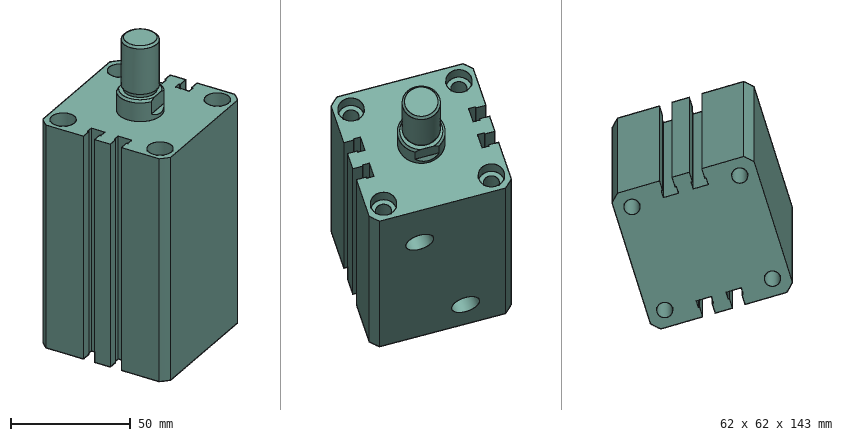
import cadquery as cq

TOTAL_HEIGHT = 143.0
BLOCK_WIDTH = 62.0
ROD_REACH = 35.0
BLOCK_HEIGHT = TOTAL_HEIGHT - ROD_REACH
CORNER_CIRCLE_RADIUS = 41.5

SLOT_SPACING = 13.0
SLOT_MOUTH_WIDTH = 5.5
SLOT_MOUTH_DEPTH = 4.5
SLOT_FLOOR_WIDTH = 6.6
SLOT_DEPTH = 7.5

HOLE_SPACING = 47.0
HOLE_DIAMETER = 6.7
COUNTERBORE_DIAMETER = 11.0
COUNTERBORE_DEPTH = 6.5

PORT_OFFSET = 10.0
LOWER_PORT_Z = 16.9
UPPER_PORT_Z = 80.8
PORT_MOUTH_DIAMETER = 12.2
PORT_END_DIAMETER = 11.2
PORT_DEPTH = 15.7

ROD_DIAMETER = 20.0
ROD_CHAMFER = 1.0
COLLAR_LENGTH = 10.0
NECK_DIAMETER = 14.2
NECK_LENGTH = 2.0
THREAD_DIAMETER = 16.0
THREAD_CHAMFER = 1.0
FLAT_WIDTH = 17.0
FLAT_START = 3.0


def make_slot_cutter():
    """One T slot of full block height, open towards -Y."""
    face_y = -BLOCK_WIDTH / 2
    floor_depth = SLOT_DEPTH - SLOT_MOUTH_DEPTH
    mouth = cq.Workplane("XY").box(
        SLOT_MOUTH_WIDTH, SLOT_DEPTH, BLOCK_HEIGHT, centered=(True, False, False)
    )
    floor = (
        cq.Workplane("XY")
        .box(SLOT_FLOOR_WIDTH, floor_depth, BLOCK_HEIGHT, centered=(True, False, False))
        .translate((0, SLOT_MOUTH_DEPTH, 0))
    )
    return mouth.union(floor).translate((0, face_y, 0))


def make_port_cutter():
    """One port along +X from the -X face, narrowing towards its blind end."""
    cone = cq.Solid.makeCone(
        PORT_MOUTH_DIAMETER / 2,
        PORT_END_DIAMETER / 2,
        PORT_DEPTH,
        pnt=cq.Vector(-BLOCK_WIDTH / 2, 0, 0),
        dir=cq.Vector(1, 0, 0),
    )
    return cq.Workplane("XY").add(cone)


def make_block():
    turned_bar = cq.Workplane("XY").circle(CORNER_CIRCLE_RADIUS).extrude(BLOCK_HEIGHT)
    block = (
        cq.Workplane("XY")
        .box(BLOCK_WIDTH, BLOCK_WIDTH, BLOCK_HEIGHT, centered=(True, True, False))
        .intersect(turned_bar)
    )

    slot = make_slot_cutter()
    back_slot = slot.mirror("XZ")
    for slot_x in (-SLOT_SPACING / 2, SLOT_SPACING / 2):
        block = block.cut(slot.translate((slot_x, 0, 0)))
        block = block.cut(back_slot.translate((slot_x, 0, 0)))

    block = (
        block.faces(">Z")
        .workplane(origin=(0, 0, BLOCK_HEIGHT))
        .rect(HOLE_SPACING, HOLE_SPACING, forConstruction=True)
        .vertices()
        .cboreHole(HOLE_DIAMETER, COUNTERBORE_DIAMETER, COUNTERBORE_DEPTH)
    )

    port = make_port_cutter()
    for port_y, port_z in ((-PORT_OFFSET, LOWER_PORT_Z), (PORT_OFFSET, UPPER_PORT_Z)):
        block = block.cut(port.translate((0, port_y, port_z)))
    return block


def make_flat_cutter():
    """Material removed beside the +X wrench flat, with a 45 degree run-out at its lower end."""
    rod_radius = ROD_DIAMETER / 2
    flat_x = FLAT_WIDTH / 2
    runout_start = FLAT_START - (rod_radius - flat_x)
    return (
        cq.Workplane("XZ")
        .moveTo(flat_x, FLAT_START)
        .lineTo(rod_radius, runout_start)
        .lineTo(rod_radius, COLLAR_LENGTH)
        .lineTo(flat_x, COLLAR_LENGTH)
        .close()
        .extrude(rod_radius, both=True)
    )


def make_rod():
    """Rod standing on the block: collar with two wrench flats, undercut neck, threaded end."""
    thread_start = COLLAR_LENGTH + NECK_LENGTH
    collar = cq.Workplane("XY").circle(ROD_DIAMETER / 2).extrude(COLLAR_LENGTH)
    collar = collar.faces(">Z").chamfer(ROD_CHAMFER)
    flat = make_flat_cutter()
    collar = collar.cut(flat).cut(flat.mirror("YZ"))

    neck = (
        cq.Workplane("XY", origin=(0, 0, COLLAR_LENGTH))
        .circle(NECK_DIAMETER / 2)
        .extrude(NECK_LENGTH)
    )
    thread = (
        cq.Workplane("XY", origin=(0, 0, thread_start))
        .circle(THREAD_DIAMETER / 2)
        .extrude(ROD_REACH - thread_start)
        .faces(">Z")
        .chamfer(THREAD_CHAMFER)
    )
    return collar.union(neck).union(thread).translate((0, 0, BLOCK_HEIGHT))


block = make_block()
rod = make_rod()

result = cq.Compound.makeCompound([block.val(), rod.val()])